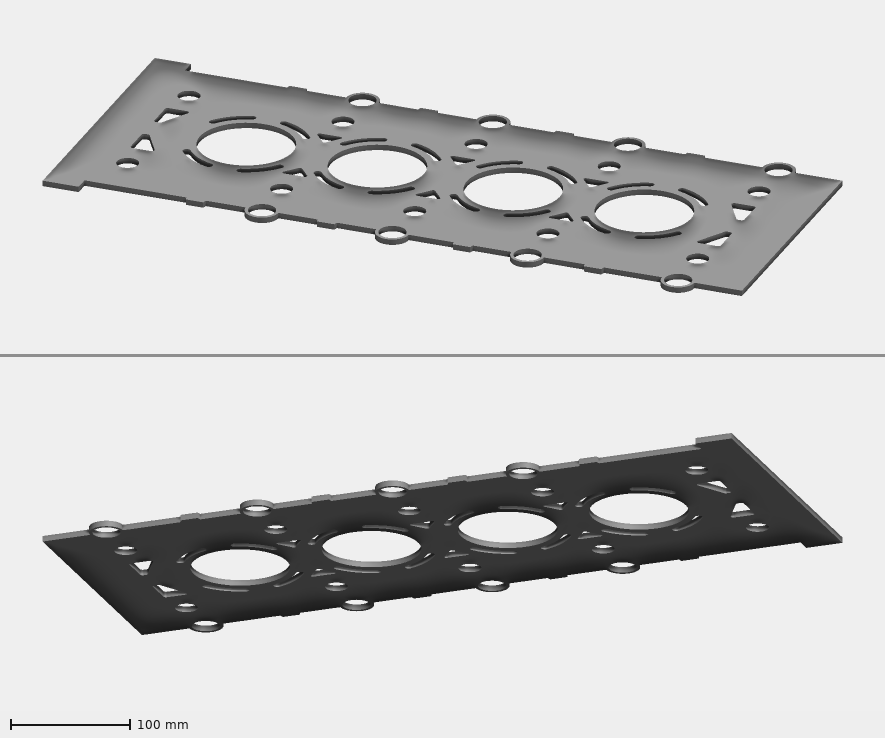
import cadquery as cq
import math

length = 624.0
thickness = 5.0
plate_width = 231.0
left_end = -length / 2
edge_y = plate_width / 2

head_length = 32.5
head_width = 257.5

bore_x = [-179.0, -61.0, 61.0, 179.0]
bore_diameter = 83.5

slot_radius = 52.0
slot_width = 7.0
slot_start_angle = 36.0
slot_end_angle = 74.0

bolt_x = [-258.0, -120.0, 0.0, 120.0, 254.5]
bolt_y = 70.5
bolt_diameter = 19.5

ring_x = [-120.0, -2.5, 119.0, 254.5]
ring_outer_diameter = 29.5
ring_hole_diameter = 24.0

tab_base_width = 17.5
tab_top_width = 15.5
tab_height = 4.0

window_outer_y = 42.0
triangle_x = bolt_x[1:-1]
triangle_width = 26.0
triangle_tip_y = 25.5
triangle_corner_radius = 2.0

end_window_straight_x = [-267.5, 263.0]
end_window_inner_y = 12.5
end_window_wide = 23.0
end_window_narrow = 6.0
end_window_corner_radius = 2.5


def prism(outline):
    """Extrude a closed outline through the full plate thickness."""
    return outline.extrude(thickness)


def discs(centres, diameter):
    return prism(cq.Workplane("XY").pushPoints(centres).circle(diameter / 2))


def polygon(points):
    return prism(cq.Workplane("XY").polyline(points).close())


def on_both_sides(x_values, y):
    return [(x, side * y) for x in x_values for side in (1, -1)]


def with_mirror(body):
    """Return the body together with its mirror image about Y = 0."""
    return body.union(body.mirror("XZ"))


def edge_tab(x):
    half_base = tab_base_width / 2
    half_top = tab_top_width / 2
    return polygon([
        (x - half_base, 0),
        (x - half_base, edge_y),
        (x - half_top, edge_y + tab_height),
        (x + half_top, edge_y + tab_height),
        (x + half_base, edge_y),
        (x + half_base, 0),
    ])


def coolant_slot(x, start_angle, end_angle):
    """Arc slot with round ends, concentric with the bore at x."""
    inner_radius = slot_radius - slot_width / 2
    outer_radius = slot_radius + slot_width / 2
    middle_angle = (start_angle + end_angle) / 2

    def polar(radius, angle):
        radians = math.radians(angle)
        return (x + radius * math.cos(radians), radius * math.sin(radians))

    cap_angle = math.degrees(slot_width / 2 / slot_radius)
    outline = (
        cq.Workplane("XY")
        .moveTo(*polar(inner_radius, start_angle))
        .threePointArc(polar(inner_radius, middle_angle), polar(inner_radius, end_angle))
        .threePointArc(polar(slot_radius, end_angle + cap_angle), polar(outer_radius, end_angle))
        .threePointArc(polar(outer_radius, middle_angle), polar(outer_radius, start_angle))
        .threePointArc(polar(slot_radius, start_angle - cap_angle), polar(inner_radius, start_angle))
        .close()
    )
    return prism(outline)


def triangle_window(x):
    half_width = triangle_width / 2
    window = polygon([
        (x - half_width, window_outer_y),
        (x + half_width, window_outer_y),
        (x, triangle_tip_y),
    ])
    return window.edges("|Z").fillet(triangle_corner_radius)


def end_window(straight_x, direction):
    """Window with a straight side at straight_x, widening along direction (+1 or -1)."""
    window = polygon([
        (straight_x, window_outer_y),
        (straight_x + direction * end_window_wide, window_outer_y),
        (straight_x + direction * end_window_narrow, end_window_inner_y),
        (straight_x, end_window_inner_y),
    ])
    return window.edges("|Z").fillet(end_window_corner_radius)


result = cq.Workplane("XY").box(length, plate_width, thickness, centered=(True, True, False))
head = cq.Workplane("XY").box(head_length, head_width, thickness, centered=(False, True, False))
result = result.union(head.translate((left_end, 0, 0)))
for x in bore_x:
    result = result.union(with_mirror(edge_tab(x)))
ring_centres = on_both_sides(ring_x, edge_y)
result = result.union(discs(ring_centres, ring_outer_diameter))

result = result.cut(discs(ring_centres, ring_hole_diameter))
result = result.cut(discs([(x, 0) for x in bore_x], bore_diameter))
result = result.cut(discs(on_both_sides(bolt_x, bolt_y), bolt_diameter))

for x in bore_x:
    result = result.cut(with_mirror(coolant_slot(x, slot_start_angle, slot_end_angle)))
    result = result.cut(with_mirror(coolant_slot(x, 180 - slot_end_angle, 180 - slot_start_angle)))
for x in triangle_x:
    result = result.cut(with_mirror(triangle_window(x)))
for straight_x, direction in zip(end_window_straight_x, (1, -1)):
    result = result.cut(with_mirror(end_window(straight_x, direction)))